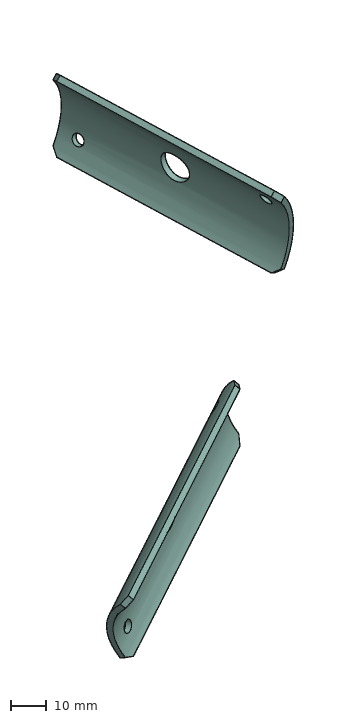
import cadquery as cq
import math

length = 80.0
height = 32.5
outer_radius = 26.2
thickness = 2.0
corner_chamfer = 2.4
center_hole_diameter = 10.0
small_hole_diameter = 4.0
small_hole_x = 33.0
small_hole_angle = 20.0

inner_radius = outer_radius - thickness
half_angle = math.asin(height / 2 / outer_radius)
depth = outer_radius - inner_radius * math.cos(half_angle)
axis_y = depth / 2 - outer_radius


def arc_point(radius, angle):
    """Point in the YZ section at an angle (radians) from the crown."""
    return axis_y + radius * math.cos(angle), radius * math.sin(angle)


def curved_plate():
    """Arc-shaped strip with radial long edges and chamfered corners."""
    plate = (
        cq.Workplane("YZ")
        .moveTo(*arc_point(outer_radius, -half_angle))
        .threePointArc(arc_point(outer_radius, 0), arc_point(outer_radius, half_angle))
        .lineTo(*arc_point(inner_radius, half_angle))
        .threePointArc(arc_point(inner_radius, 0), arc_point(inner_radius, -half_angle))
        .close()
        .extrude(length / 2, both=True)
    )
    for angle in (-half_angle, half_angle):
        radial = cq.Vector(0, math.cos(angle), math.sin(angle))
        plate = plate.edges(cq.selectors.ParallelDirSelector(radial)).chamfer(corner_chamfer)
    return plate


def radial_hole(diameter, x, angle):
    """Cutter from the curvature axis outward at an angle (radians) from the crown."""
    direction = cq.Vector(0, math.cos(angle), math.sin(angle))
    start = cq.Vector(x, axis_y, 0)
    return cq.Solid.makeCylinder(diameter / 2, outer_radius + thickness, start, direction)


result = curved_plate().cut(radial_hole(center_hole_diameter, 0, 0))

for side in (-1, 1):
    hole_angle = side * math.radians(small_hole_angle)
    result = result.cut(radial_hole(small_hole_diameter, side * small_hole_x, hole_angle))